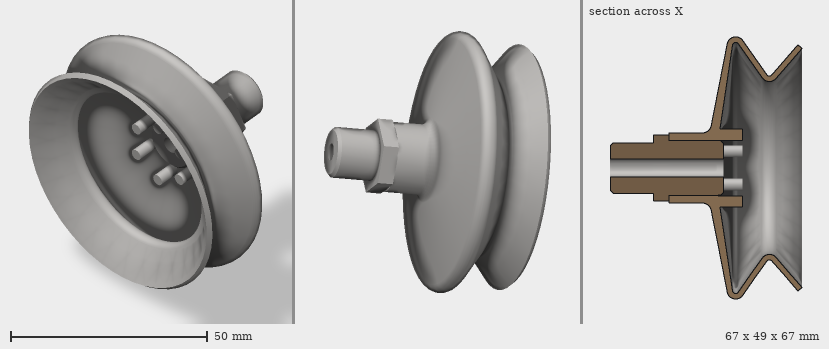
import cadquery as cq
import math


TOTAL_LENGTH = 49.0
HEX_TOP = 38.0
NECK_TOP = 34.0
RIM_HEIGHT = 17.0
THROAT_HEIGHT = 8.4
INSERT_FACE = 20.1
PIN_TIP = 15.2

RIM_RADIUS = 33.5
RIM_ROUND = 2.25
THROAT_RADIUS = 23.5
THROAT_ROUND = 0.75
BELLOWS_WALL = 1.5
LIP_INNER_RADIUS = 30.5
NECK_RADIUS = 9.0
NECK_FILLET = 2.25
NECK_FILLET_TOP = 25.5
DOME_INNER_HEIGHT = 21.4
PIN_COUNT = 6
PIN_RADIUS = 1.5
PIN_CIRCLE_RADIUS = 8.5

STEM_RADIUS = 6.5
STEM_CHAMFER = 0.8
HEX_ACROSS_FLATS = 17.0
INSERT_RADIUS = 6.95
INSERT_CHAMFER = 0.65
BORE_DIAMETER = 4.4


def cross_tangent_slope(center_a, radius_a, center_b, radius_b):
    """Slope of the line that passes between two circles and touches both."""
    run = abs(center_a[0] - center_b[0])
    rise = abs(center_a[1] - center_b[1])
    return math.atan2(rise, run) - math.asin((radius_a + radius_b) / math.hypot(run, rise))


def on_circle(center, radius, angle):
    """Point on a circle at an angle counted from the outward radial direction."""
    return (center[0] + radius * math.cos(angle), center[1] + radius * math.sin(angle))


def axial_cylinder(radius, bottom, top):
    """Cylinder on the Y axis between two heights."""
    return cq.Workplane("ZX", origin=(0, bottom, 0)).circle(radius).extrude(top - bottom)


def make_cup():
    """Bellows cup: one revolved wall plus a circle of support pins under the dome."""
    neck_center = (NECK_RADIUS + NECK_FILLET, NECK_FILLET_TOP)
    rim_center = (RIM_RADIUS - RIM_ROUND, RIM_HEIGHT)
    throat_center = (THROAT_RADIUS + THROAT_ROUND, THROAT_HEIGHT)
    lip_inner = (LIP_INNER_RADIUS, 0)
    rim_inner_round = RIM_ROUND - BELLOWS_WALL
    throat_inner_round = THROAT_ROUND + BELLOWS_WALL

    dome_slope = cross_tangent_slope(neck_center, NECK_FILLET, rim_center, RIM_ROUND)
    bellows_slope = cross_tangent_slope(rim_center, RIM_ROUND, throat_center, THROAT_ROUND)
    lip_slope = cross_tangent_slope(throat_center, throat_inner_round, lip_inner, 0)
    lip_outer = on_circle(lip_inner, BELLOWS_WALL, math.pi / 2 - lip_slope)

    dome_side = math.pi / 2 - dome_slope
    bellows_side = bellows_slope - math.pi / 2
    throat_upper = math.pi / 2 + bellows_slope
    throat_lower = 3 * math.pi / 2 - lip_slope
    neck_lower = 3 * math.pi / 2 - dome_slope
    neck_middle = (math.pi + neck_lower) / 2

    profile = (
        cq.Workplane("ZY")
        .moveTo(INSERT_RADIUS, NECK_TOP)
        .lineTo(NECK_RADIUS, NECK_TOP)
        .lineTo(NECK_RADIUS, NECK_FILLET_TOP)
        .threePointArc(on_circle(neck_center, NECK_FILLET, neck_middle),
                       on_circle(neck_center, NECK_FILLET, neck_lower))
        .lineTo(*on_circle(rim_center, RIM_ROUND, dome_side))
        .threePointArc(on_circle(rim_center, RIM_ROUND, 0),
                       on_circle(rim_center, RIM_ROUND, bellows_side))
        .lineTo(*on_circle(throat_center, THROAT_ROUND, throat_upper))
        .threePointArc(on_circle(throat_center, THROAT_ROUND, math.pi),
                       on_circle(throat_center, THROAT_ROUND, throat_lower))
        .lineTo(*lip_outer)
        .lineTo(*lip_inner)
        .lineTo(*on_circle(throat_center, throat_inner_round, throat_lower))
        .threePointArc(on_circle(throat_center, throat_inner_round, math.pi),
                       on_circle(throat_center, throat_inner_round, throat_upper))
        .lineTo(*on_circle(rim_center, rim_inner_round, bellows_side))
        .threePointArc(on_circle(rim_center, rim_inner_round, 0),
                       on_circle(rim_center, rim_inner_round, dome_side))
        .lineTo(INSERT_RADIUS, DOME_INNER_HEIGHT)
        .close()
    )
    cup = profile.revolve(360, (0, 0, 0), (0, 1, 0))

    pins = (
        cq.Workplane("ZX", origin=(0, PIN_TIP, 0))
        .polarArray(PIN_CIRCLE_RADIUS, 0, 360, PIN_COUNT)
        .circle(PIN_RADIUS)
        .extrude(DOME_INNER_HEIGHT - PIN_TIP)
    )
    return cup.union(pins)


def make_fitting():
    """Threaded stem, hexagon and the insert that fills the cup's neck, bored through."""
    stem = axial_cylinder(STEM_RADIUS, HEX_TOP, TOTAL_LENGTH).faces(">Y").chamfer(STEM_CHAMFER)
    insert = axial_cylinder(INSERT_RADIUS, INSERT_FACE, NECK_TOP).faces("<Y").chamfer(INSERT_CHAMFER)
    hexagon = (
        cq.Workplane("ZX", origin=(0, NECK_TOP, 0))
        .polygon(6, HEX_ACROSS_FLATS, circumscribed=True)
        .extrude(HEX_TOP - NECK_TOP)
    )
    bore = axial_cylinder(BORE_DIAMETER / 2, INSERT_FACE, TOTAL_LENGTH)
    return stem.union(hexagon).union(insert).cut(bore)


cup = make_cup()
fitting = make_fitting()

result = cq.Compound.makeCompound([cup.solids().val(), fitting.solids().val()])